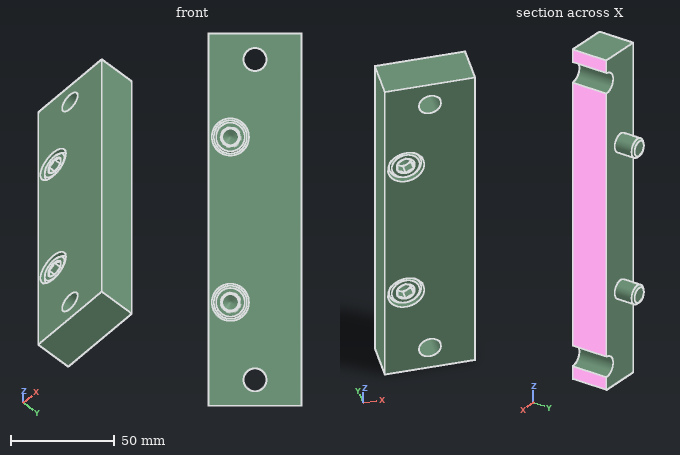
import cadquery as cq
import math

plate_width = 45.0
plate_thickness = 20.0
plate_length = 180.0

mount_hole_diameter = 11.0
mount_hole_end_distance = 12.6

screw_side_distance = 10.6
screw_spacing = 80.0
shank_diameter = 10.0
head_diameter = 16.0
head_height = 10.0
head_chamfer = 1.0
tip_chamfer = 1.0
tip_protrusion = 11.0

socket_across_flats = 8.0
socket_depth = 5.0
socket_turn = 30.0
socket_corner_diameter = socket_across_flats / math.cos(math.pi / 6)
socket_mouth_angle = math.radians(30)
socket_mouth_depth = (socket_corner_diameter - socket_across_flats) / 2 * math.tan(socket_mouth_angle)
socket_bottom_angle = math.radians(30)
socket_bottom_depth = socket_across_flats / 2 * math.tan(socket_bottom_angle)

counterbore_diameter = 18.0
head_recess = 0.9
counterbore_depth = head_recess + head_height

screw_x = screw_side_distance - plate_width / 2
screw_heights = [-screw_spacing / 2, screw_spacing / 2]
mount_hole_z = plate_length / 2 - mount_hole_end_distance


def cylinder_along_y(diameter, y_start, length):
    """Cylinder on the Y axis, running toward +Y from y_start."""
    return cq.Workplane(cq.Solid.makeCylinder(
        diameter / 2, length, cq.Vector(0, y_start, 0), cq.Vector(0, 1, 0)))


def cone_along_y(start_diameter, end_diameter, y_start, length):
    """Cone on the Y axis, running toward +Y from y_start."""
    return cq.Workplane(cq.Solid.makeCone(
        start_diameter / 2, end_diameter / 2, length, cq.Vector(0, y_start, 0), cq.Vector(0, 1, 0)))


def make_plate():
    plate = cq.Workplane("XY").box(plate_width, plate_thickness, plate_length)
    plate = plate.translate((0, plate_thickness / 2, 0))

    mount_hole = cylinder_along_y(mount_hole_diameter, 0, plate_thickness)
    for z in (-mount_hole_z, mount_hole_z):
        plate = plate.cut(mount_hole.translate((0, 0, z)))

    counterbore = cylinder_along_y(counterbore_diameter, 0, counterbore_depth)
    shank_hole = cylinder_along_y(shank_diameter, 0, plate_thickness)
    screw_hole = counterbore.union(shank_hole)
    for z in screw_heights:
        plate = plate.cut(screw_hole.translate((screw_x, 0, z)))
    return plate


def make_socket():
    """Volume removed from the head by the drive socket."""
    hexagon = (
        cq.Workplane("XZ", origin=(0, head_recess, 0))
        .transformed(rotate=(0, 0, socket_turn))
        .polygon(6, socket_corner_diameter)
        .extrude(-socket_depth)
    )
    mouth = cone_along_y(
        socket_corner_diameter, socket_across_flats, head_recess, socket_mouth_depth)
    bottom = cone_along_y(
        socket_across_flats, 0, head_recess + socket_depth, socket_bottom_depth)
    return hexagon.union(mouth).union(bottom)


def make_screw(z):
    head = cylinder_along_y(head_diameter, head_recess, head_height)
    head = head.faces("<Y").edges().chamfer(head_chamfer)

    shank_length = plate_thickness + tip_protrusion - counterbore_depth
    shank = cylinder_along_y(shank_diameter, counterbore_depth, shank_length)
    shank = shank.faces(">Y").edges().chamfer(tip_chamfer)

    screw = head.union(shank).cut(make_socket())
    return screw.translate((screw_x, 0, z))


plate = make_plate()
screws = [make_screw(z) for z in screw_heights]

result = cq.Compound.makeCompound([plate.val(), *[screw.val() for screw in screws]])